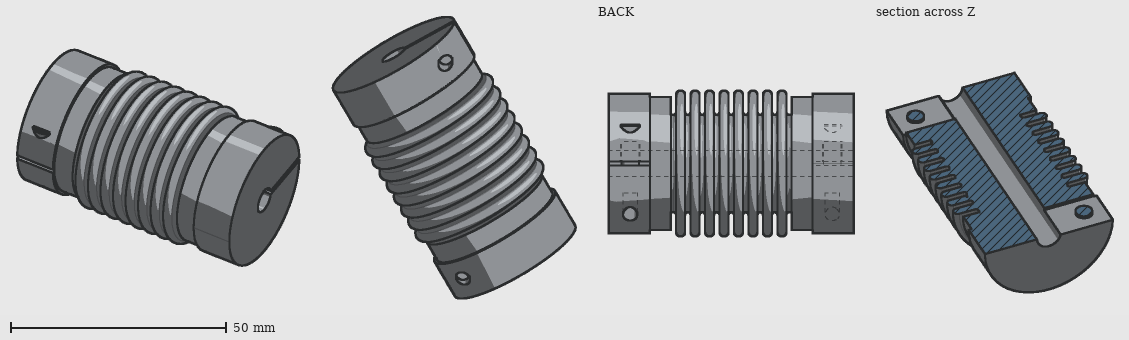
import cadquery as cq

length = 57.0
bore_diameter = 6.0

clamp_diameter = 32.5
clamp_width = 9.6
collar_diameter = 31.0
collar_width = 4.9
slot_width = 1.0

crest_count = 8
crest_pitch = 3.35
crest_width = 2.15
crest_diameter = 34.0
root_diameter = 22.7

screw_offset = 11.05
screw_inset = 5.0
head_diameter = 7.0
head_height = 4.0
head_chamfer = 0.35
head_top = 9.05
shank_diameter = 4.0
shank_length = 11.95

clearance_diameter = 4.5
tapped_diameter = 3.3

half_length = length / 2
clamp_inner_x = half_length - clamp_width
collar_inner_x = clamp_inner_x - collar_width
clamp_radius = clamp_diameter / 2
head_seat = head_top - head_height
screw_x = -half_length + screw_inset


def disc(x_start, width, diameter):
    """Solid disc about the X axis."""
    return cq.Workplane("YZ", origin=(x_start, 0, 0)).circle(diameter / 2).extrude(width)


def screw_cylinder(z_bottom, z_top, diameter):
    """Cylinder on the axis of the clamp screw at the -X end."""
    base = cq.Workplane("XY", origin=(screw_x, -screw_offset, z_bottom))
    return base.circle(diameter / 2).extrude(z_top - z_bottom)


def make_bellows():
    """Revolve the corrugated outline of the bellows about the X axis."""
    crest_radius = crest_width / 2
    root_radius = (crest_pitch - crest_width) / 2
    crest_tip = crest_diameter / 2
    root_bottom = root_diameter / 2
    crest_shoulder = crest_tip - crest_radius
    root_shoulder = root_bottom + root_radius
    first_crest_x = -crest_pitch * (crest_count - 1) / 2

    first_wall_x = first_crest_x - crest_radius
    outline = cq.Workplane("XY").moveTo(-collar_inner_x, 0).lineTo(-collar_inner_x, root_bottom)
    outline = outline.lineTo(first_wall_x - root_radius, root_bottom)
    outline = outline.radiusArc((first_wall_x, root_shoulder), -root_radius)
    for index in range(crest_count):
        crest_x = first_crest_x + index * crest_pitch
        wall_x = crest_x + crest_radius
        outline = outline.lineTo(crest_x - crest_radius, crest_shoulder)
        outline = outline.threePointArc((crest_x, crest_tip), (wall_x, crest_shoulder))
        outline = outline.lineTo(wall_x, root_shoulder)
        if index < crest_count - 1:
            root_x = wall_x + root_radius
            next_wall_x = root_x + root_radius
            outline = outline.threePointArc((root_x, root_bottom), (next_wall_x, root_shoulder))
    outline = outline.radiusArc((-first_wall_x + root_radius, root_bottom), -root_radius)
    outline = outline.lineTo(collar_inner_x, root_bottom).lineTo(collar_inner_x, 0).close()
    return outline.revolve(360, (0, 0, 0), (1, 0, 0))


def make_screw():
    """Cap screw whose chamfered head breaks out of the clamp; its shank ends in the lower jaw."""
    head = screw_cylinder(head_seat, head_top, head_diameter).faces(">Z").chamfer(head_chamfer)
    return head.union(screw_cylinder(head_seat - shank_length, head_seat, shank_diameter))


def make_hub():
    """Hub at the -X end, slit on its -Y side and closed by the clamp screw."""
    clamp = disc(-half_length, clamp_width, clamp_diameter)
    collar = disc(-clamp_inner_x, collar_width, collar_diameter)
    bore = disc(-half_length, clamp_width + collar_width, bore_diameter)
    slot = cq.Workplane("XY").box(clamp_width, clamp_radius, slot_width, centered=(False, False, True))
    slot = slot.translate((-half_length, -clamp_radius, 0))

    clearance = screw_cylinder(0, head_seat, clearance_diameter)
    tapped = screw_cylinder(-clamp_radius, 0, tapped_diameter)

    body = clamp.union(collar).cut(bore).cut(slot)
    return body.cut(clearance).cut(tapped).union(make_screw())


hub = make_hub()
opposite_hub = hub.rotate((0, 0, 0), (0, 0, 1), 180)
bellows = make_bellows().cut(disc(-half_length, length, bore_diameter))
result = bellows.union(hub).union(opposite_hub)